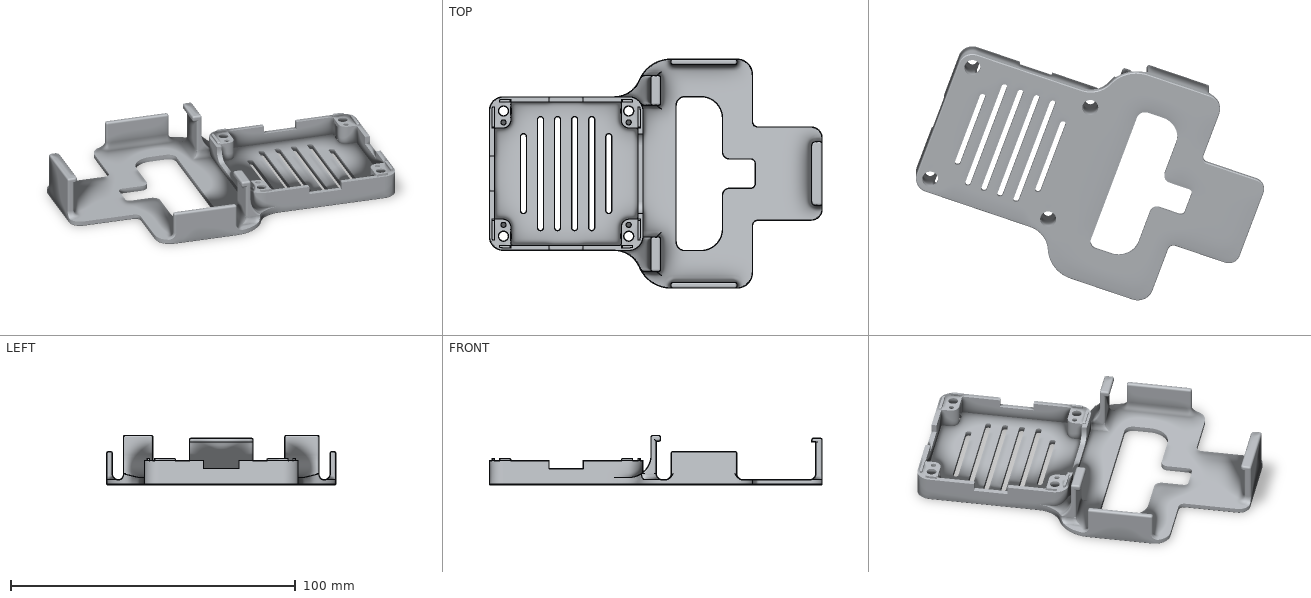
import cadquery as cq
import math

TOTAL_LENGTH = 117.0
TOTAL_WIDTH = 80.5
FLOOR = 1.8
EDGE_ROUND = 0.7
BASE_FILLET = 2.15
BOTTOM_CHAMFER = 0.3

CASE_SIZE = 54.0
CASE_HEIGHT = 8.5
CASE_WALL = 1.8
CASE_CORNER = 5.0
CASE_HALF = CASE_SIZE / 2
NOTCH_FLOOR = 5.7
SIDE_NOTCH_WIDTH = 12.0
END_NOTCH_WIDTH = 12.4
OPEN_NOTCH_WIDTH = 28.0
OPEN_NOTCH_FLOOR = 3.6
OPEN_NOTCH_RADIUS = 4.0

SCREW_INSET = 5.0
SCREW_DIA = 3.4
SCREW_HEAD_DIA = 5.6
SCREW_HEAD_TOP = 7.0
HEAD_CHANNEL_WIDTH = 4.6
PIN_DIA = 1.8
PIN_INSET = 9.0
POST_LENGTH = 11.0
POST_WIDTH = 7.6
POST_CORNER = 2.8
POST_ROOT_FILLET = 0.5

RIDGE_INSET = 0.9
RIDGE_HEIGHT = 0.8
RIDGE_START = 3.6
RIDGE_BEVEL = 0.4

SLOT_WIDTH = 2.0
SLOT_PITCH = 6.0
FIRST_SLOT_X = 12.0
SHORT_SLOT = 28.0
LONG_SLOT = 40.0
SLOT_LENGTHS = [SHORT_SLOT, LONG_SLOT, LONG_SLOT, LONG_SLOT, LONG_SLOT, SHORT_SLOT]

PLATE_HALF = TOTAL_WIDTH / 2
PLATE_RIGHT = 92.5
FLARE_START_X = 44.0
FLARE_OUTER_RADIUS = 12.1
TONGUE_HALF = 16.4
TONGUE_CORNER = 4.0
TONGUE_INNER_RADIUS = 2.0

WINDOW_LEFT = 65.7
WINDOW_RIGHT = 81.9
WINDOW_HALF = 27.0
WINDOW_LEFT_RADIUS = 3.0
WINDOW_RIGHT_RADIUS = 7.5
WINDOW_NECK_RIGHT = 93.4
WINDOW_NECK_HALF = 5.1
WINDOW_NECK_RADIUS = 1.5
WINDOW_NECK_INNER_RADIUS = 2.6

SIDE_WALL_LEFT = 63.9
SIDE_WALL_RIGHT = 87.0
SIDE_WALL_THICKNESS = 2.0
SIDE_WALL_TOP = 11.7
END_WALL_HALF = 11.2
END_WALL_THICKNESS = 2.3
END_WALL_TOP = 16.4
END_LIP_REACH = 1.4
END_LIP_THICKNESS = 1.3
END_LIP_CORNER = 1.4

HOOK_OUTER_X = 56.8
HOOK_INNER_X = 58.7
HOOK_LIP_X = 60.2
HOOK_TOP = 17.4
HOOK_LIP_THICKNESS = 2.1
HOOK_FOOT_TOP = 2.6
HOOK_SWEEP_RADIUS = 7.7
HOOK_OUTER_Y = 34.4
HOOK_OUTER_FLARE = 1.5
UPPER_HOOK_INNER_Y = 24.0
UPPER_HOOK_INNER_FLARE = 1.4
LOWER_HOOK_INNER_Y = 22.3
LOWER_HOOK_INNER_FLARE = 2.1
HOOK_SWEEP_START = HOOK_OUTER_X - HOOK_SWEEP_RADIUS
HOOK_SWEEP_TOP = HOOK_FOOT_TOP + HOOK_SWEEP_RADIUS
HOOK_LIP_BOTTOM = HOOK_TOP - HOOK_LIP_THICKNESS

SIN_45 = math.sin(math.pi / 4)
EASE = 1 - SIN_45
PICK = 0.05


def block(x0, x1, y0, y1, z0, z1):
    return cq.Workplane("XY").box(x1 - x0, y1 - y0, z1 - z0, centered=False).translate((x0, y0, z0))


def corner_edges(solid, x, half_y, radius):
    """Round the two upright edges standing at (x, +half_y) and (x, -half_y)."""
    for y in (half_y, -half_y):
        picker = cq.selectors.BoxSelector((x - PICK, y - PICK, 0), (x + PICK, y + PICK, HOOK_TOP))
        solid = solid.edges("|Z").edges(picker).fillet(radius)
    return solid


def both_sides(solid):
    return solid.union(solid.mirror("XZ"))


def rounded_square(size, corner, z0, z1):
    centre = (CASE_HALF, 0, z0)
    return cq.Workplane("XY").rect(size, size).extrude(z1 - z0).edges("|Z").fillet(corner).translate(centre)


def plate_outline(height):
    """Plate and tongue outline, joined to the case by an S-shaped flare on each side."""
    run = SIDE_WALL_LEFT - FLARE_START_X
    rise = PLATE_HALF - CASE_HALF
    radius_sum = (run**2 + rise**2) / (2 * rise)
    angle = math.asin(run / radius_sum)
    inner_radius = radius_sum - FLARE_OUTER_RADIUS
    join_x = FLARE_START_X + inner_radius * math.sin(angle)
    join_y = CASE_HALF + inner_radius * (1 - math.cos(angle))
    inner_x = FLARE_START_X + inner_radius * math.sin(angle / 2)
    inner_y = CASE_HALF + inner_radius * (1 - math.cos(angle / 2))
    outer_x = SIDE_WALL_LEFT - FLARE_OUTER_RADIUS * math.sin(angle / 2)
    outer_y = PLATE_HALF - FLARE_OUTER_RADIUS * (1 - math.cos(angle / 2))
    solid = (
        cq.Workplane("XY")
        .moveTo(FLARE_START_X, -CASE_HALF)
        .threePointArc((inner_x, -inner_y), (join_x, -join_y))
        .threePointArc((outer_x, -outer_y), (SIDE_WALL_LEFT, -PLATE_HALF))
        .lineTo(PLATE_RIGHT, -PLATE_HALF)
        .lineTo(PLATE_RIGHT, -TONGUE_HALF)
        .lineTo(TOTAL_LENGTH, -TONGUE_HALF)
        .lineTo(TOTAL_LENGTH, TONGUE_HALF)
        .lineTo(PLATE_RIGHT, TONGUE_HALF)
        .lineTo(PLATE_RIGHT, PLATE_HALF)
        .lineTo(SIDE_WALL_LEFT, PLATE_HALF)
        .threePointArc((outer_x, outer_y), (join_x, join_y))
        .threePointArc((inner_x, inner_y), (FLARE_START_X, CASE_HALF))
        .close()
        .extrude(height)
    )
    solid = corner_edges(solid, PLATE_RIGHT, PLATE_HALF, PLATE_RIGHT - SIDE_WALL_RIGHT)
    solid = corner_edges(solid, PLATE_RIGHT, TONGUE_HALF, TONGUE_INNER_RADIUS)
    return corner_edges(solid, TOTAL_LENGTH, TONGUE_HALF, TONGUE_CORNER)


def plate_window():
    """Opening through the plate with a narrow neck toward the tongue."""
    main = block(WINDOW_LEFT, WINDOW_RIGHT, -WINDOW_HALF, WINDOW_HALF, 0, FLOOR)
    neck = block(WINDOW_RIGHT, WINDOW_NECK_RIGHT, -WINDOW_NECK_HALF, WINDOW_NECK_HALF, 0, FLOOR)
    window = main.union(neck)
    window = corner_edges(window, WINDOW_LEFT, WINDOW_HALF, WINDOW_LEFT_RADIUS)
    window = corner_edges(window, WINDOW_RIGHT, WINDOW_HALF, WINDOW_RIGHT_RADIUS)
    window = corner_edges(window, WINDOW_RIGHT, WINDOW_NECK_HALF, WINDOW_NECK_INNER_RADIUS)
    return corner_edges(window, WINDOW_NECK_RIGHT, WINDOW_NECK_HALF, WINDOW_NECK_RADIUS)


def on_all_corners(solid):
    """Copy a feature of the (-X, +Y) case corner to all four corners."""
    pair = both_sides(solid)
    return pair.union(pair.mirror("YZ", (CASE_HALF, 0, 0)))


def root_fillet(x, y):
    """Upright sliver filling the corner at (x, y) between a post side and a case wall."""
    corner = block(x, x + POST_ROOT_FILLET, y - POST_ROOT_FILLET, y, FLOOR, CASE_HEIGHT)
    hollow = (
        cq.Workplane("XY", origin=(x + POST_ROOT_FILLET, y - POST_ROOT_FILLET, FLOOR))
        .circle(POST_ROOT_FILLET)
        .extrude(CASE_HEIGHT - FLOOR)
    )
    return corner.cut(hollow)


def post():
    end_y = CASE_HALF - POST_LENGTH
    wall_middle = CASE_WALL / 2
    body = block(wall_middle, POST_WIDTH, end_y, CASE_HALF - wall_middle, 0, CASE_HEIGHT)
    body = body.edges("|Z and >X and <Y").fillet(POST_CORNER)
    body = body.intersect(rounded_square(CASE_SIZE, CASE_CORNER, 0, CASE_HEIGHT))
    side_root = root_fillet(POST_WIDTH, CASE_HALF - CASE_WALL)
    end_root = root_fillet(CASE_WALL, end_y)
    return body.union(side_root).union(end_root)


def post_holes():
    screw_y = CASE_HALF - SCREW_INSET
    pin_y = CASE_HALF - PIN_INSET
    screw = cq.Workplane("XY").center(SCREW_INSET, screw_y).circle(SCREW_DIA / 2).extrude(CASE_HEIGHT)
    head = cq.Workplane("XY").center(SCREW_INSET, screw_y).circle(SCREW_HEAD_DIA / 2).extrude(SCREW_HEAD_TOP)
    pin = (
        cq.Workplane("XY", origin=(0, 0, FLOOR))
        .center(SCREW_INSET, pin_y)
        .circle(PIN_DIA / 2)
        .extrude(CASE_HEIGHT - FLOOR)
    )
    channel_y0 = screw_y - HEAD_CHANNEL_WIDTH / 2
    channel_y1 = screw_y + HEAD_CHANNEL_WIDTH / 2
    channel_end = POST_WIDTH + POST_ROOT_FILLET
    channel = block(SCREW_INSET, channel_end, channel_y0, channel_y1, FLOOR, SCREW_HEAD_TOP)
    return screw.union(head).union(channel).union(pin)


def ridges():
    """Two low strips on the walls of one corner, following the rounded outline of the case."""
    top = CASE_HEIGHT + RIDGE_HEIGHT
    start_y = CASE_HALF - RIDGE_START
    end_y = CASE_HALF - POST_LENGTH
    along_y = block(0, CASE_WALL, end_y, start_y, CASE_HEIGHT, top)
    along_y = along_y.edges("<Y and >Z").chamfer(RIDGE_BEVEL)
    along_x = block(RIDGE_START, POST_WIDTH, CASE_HALF - CASE_WALL, CASE_HALF, CASE_HEIGHT, top)
    along_x = along_x.edges(">X and >Z").chamfer(RIDGE_BEVEL)
    limit = rounded_square(CASE_SIZE - 2 * RIDGE_INSET, CASE_CORNER - RIDGE_INSET, CASE_HEIGHT, top)
    return along_y.union(along_x).intersect(limit)


def case_notches():
    side_x0 = CASE_HALF - SIDE_NOTCH_WIDTH / 2
    side_x1 = CASE_HALF + SIDE_NOTCH_WIDTH / 2
    side = block(side_x0, side_x1, -CASE_HALF, CASE_HALF, NOTCH_FLOOR, CASE_HEIGHT)
    end_y = END_NOTCH_WIDTH / 2
    end = block(0, CASE_WALL, -end_y, end_y, NOTCH_FLOOR, CASE_HEIGHT)
    open_y = OPEN_NOTCH_WIDTH / 2
    open_x = CASE_SIZE - CASE_WALL
    open_end = block(open_x, CASE_SIZE, -open_y, open_y, OPEN_NOTCH_FLOOR, CASE_HEIGHT)
    open_end = open_end.edges("|X and <Z").fillet(OPEN_NOTCH_RADIUS)
    return side.union(end).union(open_end)


def vent_slots():
    slots = cq.Workplane("XY")
    for index, length in enumerate(SLOT_LENGTHS):
        x = FIRST_SLOT_X + index * SLOT_PITCH
        slots = slots.union(cq.Workplane("XY").center(x, 0).slot2D(length, SLOT_WIDTH, 90).extrude(FLOOR))
    return slots


def base_fillet(wall, x0, x1, y0, y1):
    """Fillet around the foot of a wall, together with the plate under it."""
    margin = 2 * BASE_FILLET
    slab = block(x0 - margin, x1 + margin, y0 - margin, y1 + margin, 0, FLOOR)
    low = (x0 - PICK, y0 - PICK, FLOOR - PICK)
    high = (x1 + PICK, y1 + PICK, FLOOR + PICK)
    foot_edges = cq.selectors.BoxSelector(low, high)
    foot = slab.union(wall).edges(foot_edges).fillet(BASE_FILLET)
    return foot.intersect(plate_outline(FLOOR + BASE_FILLET))


def side_wall():
    """Upright wall on the +Y side of the plate."""
    y1 = PLATE_HALF
    y0 = y1 - SIDE_WALL_THICKNESS
    wall = block(SIDE_WALL_LEFT, SIDE_WALL_RIGHT, y0, y1, 0, SIDE_WALL_TOP)
    wall = wall.edges("|Z or >Z").fillet(EDGE_ROUND)
    return wall.union(base_fillet(wall, SIDE_WALL_LEFT, SIDE_WALL_RIGHT, y0, y1))


def end_wall():
    """Upright wall at the end of the tongue, with a lip pointing back over the plate."""
    x0 = TOTAL_LENGTH - END_WALL_THICKNESS
    lip_bottom = END_WALL_TOP - END_LIP_THICKNESS
    wall = block(x0, TOTAL_LENGTH, -END_WALL_HALF, END_WALL_HALF, 0, lip_bottom)
    wall = wall.edges("|Z").fillet(EDGE_ROUND)
    foot = base_fillet(wall, x0, TOTAL_LENGTH, -END_WALL_HALF, END_WALL_HALF)
    lip = block(x0 - END_LIP_REACH, TOTAL_LENGTH, -END_WALL_HALF, END_WALL_HALF, lip_bottom, END_WALL_TOP)
    lip = lip.edges("|Z and <X").fillet(END_LIP_CORNER)
    lip = lip.edges("|Z and >X").fillet(EDGE_ROUND)
    lip = lip.faces(">Z").edges().fillet(EDGE_ROUND)
    return wall.union(foot).union(lip)


def swept_back(y1):
    """Sketch of a hook's back, in the XZ plane at y1: raised foot, concave sweep, upright face."""
    sweep_mid = HOOK_SWEEP_RADIUS * SIN_45
    return (
        cq.Workplane("XZ", origin=(0, y1, 0))
        .moveTo(HOOK_SWEEP_START, 0)
        .lineTo(HOOK_SWEEP_START, HOOK_FOOT_TOP)
        .threePointArc(
            (HOOK_SWEEP_START + sweep_mid, HOOK_SWEEP_TOP - sweep_mid), (HOOK_OUTER_X, HOOK_SWEEP_TOP)
        )
        .lineTo(HOOK_OUTER_X, HOOK_TOP)
    )


def hook_body(y0, y1):
    """Hook with its lip; every edge above the foot is rounded except under the lip."""
    body = (
        swept_back(y1)
        .lineTo(HOOK_LIP_X, HOOK_TOP)
        .lineTo(HOOK_LIP_X, HOOK_LIP_BOTTOM)
        .lineTo(HOOK_INNER_X, HOOK_LIP_BOTTOM)
        .lineTo(HOOK_INNER_X, 0)
        .close()
        .extrude(y1 - y0)
    )
    low = (0, y0 - PICK, HOOK_FOOT_TOP)
    high = (TOTAL_LENGTH, y1 + PICK, HOOK_TOP + PICK)
    above_foot = cq.selectors.BoxSelector(low, high)
    side_edges = body.faces("|Y").edges(above_foot)
    lip_edges = body.edges("|Y and (>X or >Z)")
    return side_edges.add(lip_edges).fillet(EDGE_ROUND)


def hook_foot(y0, y1, flare0, flare1):
    """Flared foot: the side profile trimmed to a cross-section that spreads sideways toward the plate."""
    foot_top = FLOOR + BASE_FILLET
    mid_z = FLOOR + BASE_FILLET * EASE
    section = (
        cq.Workplane("YZ")
        .moveTo(y0 - flare0, 0)
        .lineTo(y0 - flare0, FLOOR)
        .threePointArc((y0 - flare0 * EASE, mid_z), (y0, foot_top))
        .lineTo(y1, foot_top)
        .threePointArc((y1 + flare1 * EASE, mid_z), (y1 + flare1, FLOOR))
        .lineTo(y1 + flare1, 0)
        .close()
        .extrude(TOTAL_LENGTH)
    )
    profile = (
        swept_back(y1 + flare1)
        .lineTo(HOOK_INNER_X, HOOK_TOP)
        .lineTo(HOOK_INNER_X, foot_top)
        .threePointArc((HOOK_INNER_X + BASE_FILLET * EASE, mid_z), (HOOK_INNER_X + BASE_FILLET, FLOOR))
        .lineTo(HOOK_INNER_X + BASE_FILLET, 0)
        .close()
        .extrude(y1 + flare1 - y0 + flare0)
    )
    return profile.intersect(section)


def hook(inner_y, inner_flare):
    """Complete hook on the +Y side, kept inside the plate outline."""
    foot = hook_foot(inner_y, HOOK_OUTER_Y, inner_flare, HOOK_OUTER_FLARE)
    return hook_body(inner_y, HOOK_OUTER_Y).union(foot).intersect(plate_outline(HOOK_TOP))


def flare_pad():
    """Thicker part of the flare beside the case, level with the start of the hook sweep."""
    strip = block(FLARE_START_X, HOOK_SWEEP_START, -PLATE_HALF, PLATE_HALF, 0, HOOK_FOOT_TOP)
    return plate_outline(HOOK_FOOT_TOP).intersect(strip)


def case():
    shell = rounded_square(CASE_SIZE, CASE_CORNER, 0, CASE_HEIGHT)
    cavity = rounded_square(CASE_SIZE - 2 * CASE_WALL, CASE_CORNER - CASE_WALL, FLOOR, CASE_HEIGHT)
    shell = shell.cut(cavity).cut(case_notches()).cut(vent_slots())
    corners = on_all_corners(post()).union(on_all_corners(ridges()))
    return shell.union(corners).cut(on_all_corners(post_holes()))


def plate():
    body = plate_outline(FLOOR).cut(plate_window())
    body = body.union(flare_pad())
    body = body.union(both_sides(side_wall())).union(end_wall())
    body = body.union(hook(UPPER_HOOK_INNER_Y, UPPER_HOOK_INNER_FLARE))
    body = body.union(hook(LOWER_HOOK_INNER_Y, LOWER_HOOK_INNER_FLARE).mirror("XZ"))
    return body.cut(rounded_square(CASE_SIZE, CASE_CORNER, 0, HOOK_TOP))


def chamfer_underside(solid):
    outer_edges = solid.faces("<Z").val().outerWire().Edges()
    return solid.newObject(outer_edges).chamfer(BOTTOM_CHAMFER)


result = chamfer_underside(case().union(plate()))